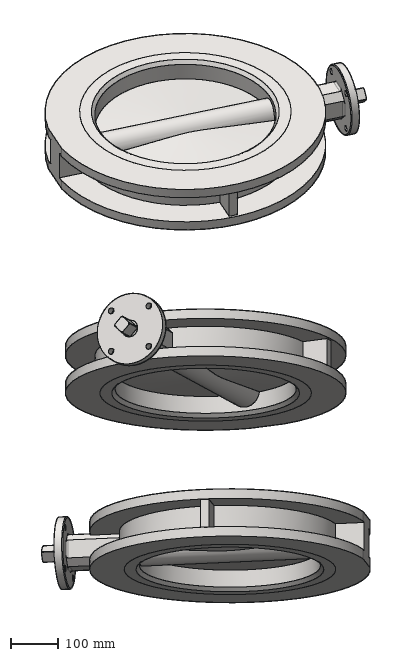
import cadquery as cq
import math


ring_radius = 298.5
ring_height = 104.0
slot_height = 62.0
core_radius = 235.5
liner_radius = 225.0
foot_flat_y = -296.0
foot_width = 57.5
side_rib_width = 19.0
side_rib_reach = 292.0

neck_width = 70.0
neck_corner_cut = 15.5
neck_fillet = 4.0
plate_radius = 77.45
plate_thickness = 19.0
plate_back_y = 348.0
plate_top_y = plate_back_y + plate_thickness
plate_chamfer = 2.0
bolt_circle_radius = 63.0
bolt_hole_diameter = 12.5
bolt_count = 4

bore_radius = 193.0
bore_mouth_radius = 200.0
bore_mouth_depth = 8.5

disc_edge_height = 12.5
disc_centre_height = 41.0
hub_radius = 35.0

stem_radius = 18.0
stem_tip_y = 405.0
stem_socket_depth = 56.0
stem_bottom_y = bore_radius - stem_socket_depth
stem_square = 26.5
stem_tip_chamfer = 2.0


def disc_z(radius, height):
    """Cylinder on the flow axis, centred on the origin."""
    return cq.Workplane("XY").circle(radius).extrude(height / 2, both=True)


def plane_across_stem(y):
    """Plane square to the stem at height y, facing +Y, with local x along -X."""
    return cq.Workplane(cq.Plane(origin=(0, y, 0), xDir=(-1, 0, 0), normal=(0, 1, 0)))


def rod_y(radius, start_y, end_y):
    """Cylinder on the stem axis."""
    return plane_across_stem(start_y).circle(radius).extrude(end_y - start_y)


def make_neck_and_plate():
    """Neck rising from the core into the round mounting plate, its four flats filleted at the root."""
    neck_length = plate_back_y - liner_radius
    neck = plane_across_stem(liner_radius).rect(neck_width, neck_width).extrude(neck_length)
    plate = rod_y(plate_radius, plate_back_y, plate_top_y).faces("<Y").edges().chamfer(plate_chamfer)
    root_reach = neck_width / 2 + plate_chamfer
    neck_root = cq.selectors.BoxSelector(
        (-root_reach, plate_back_y - plate_chamfer, -root_reach),
        (root_reach, plate_back_y + plate_chamfer, root_reach),
    )
    joined = neck.union(plate).edges("%LINE").edges(neck_root).fillet(neck_fillet)
    width_across_corners = math.sqrt(2) * (neck_width - neck_corner_cut)
    corners = rod_y(plate_radius, liner_radius, plate_back_y).cut(
        plane_across_stem(liner_radius)
        .transformed(rotate=(0, 0, 45))
        .rect(width_across_corners, width_across_corners)
        .extrude(neck_length)
    )
    bolt_holes = (
        plane_across_stem(plate_back_y)
        .polarArray(bolt_circle_radius, 180 / bolt_count, 360, bolt_count)
        .circle(bolt_hole_diameter / 2)
        .extrude(plate_thickness)
    )
    return joined.cut(corners).cut(bolt_holes)


def make_housing():
    """Grooved ring with foot, side ribs, neck and plate, bored for the liner and the stem."""
    groove = disc_z(ring_radius, slot_height).cut(disc_z(core_radius, slot_height))
    ring = disc_z(ring_radius, ring_height).cut(groove)
    foot = cq.Workplane("XY").box(foot_width, ring_radius, slot_height).translate((0, -ring_radius / 2, 0))
    side_ribs = cq.Workplane("XY").box(2 * side_rib_reach, side_rib_width, slot_height)
    below_flat = (
        cq.Workplane("XY")
        .box(2 * ring_radius, ring_radius, ring_height)
        .translate((0, foot_flat_y - ring_radius / 2, 0))
    )
    return (
        ring.union(foot)
        .union(side_ribs)
        .cut(below_flat)
        .union(make_neck_and_plate())
        .cut(disc_z(liner_radius, ring_height))
        .cut(rod_y(stem_radius, 0, plate_top_y))
    )


def make_liner():
    """Sleeve with a tapered mouth at both faces and a hole for the stem."""
    half_height = ring_height / 2
    taper_z = half_height - bore_mouth_depth
    section = [
        (liner_radius, -half_height),
        (liner_radius, half_height),
        (bore_mouth_radius, half_height),
        (bore_radius, taper_z),
        (bore_radius, -taper_z),
        (bore_mouth_radius, -half_height),
    ]
    sleeve = cq.Workplane("XZ").polyline(section).close().revolve(360, (0, 0, 0), (0, 1, 0))
    return sleeve.cut(rod_y(stem_radius, 0, liner_radius))


def make_disc():
    """Double-coned disc with a cylindrical hub across it, trimmed to the bore."""
    section = [
        (0, -disc_centre_height / 2),
        (bore_radius, -disc_edge_height / 2),
        (bore_radius, disc_edge_height / 2),
        (0, disc_centre_height / 2),
    ]
    cones = cq.Workplane("XZ").polyline(section).close().revolve(360, (0, 0, 0), (0, 1, 0))
    hub = rod_y(hub_radius, -bore_radius, bore_radius).intersect(disc_z(bore_radius, 2 * hub_radius))
    return cones.union(hub).cut(rod_y(stem_radius, stem_bottom_y, bore_radius))


def make_stem():
    """Round shaft from the hub to the plate face, then a square drive standing on its corner."""
    shaft = rod_y(stem_radius, stem_bottom_y, plate_top_y)
    drive_length = stem_tip_y - plate_top_y
    drive = (
        plane_across_stem(plate_top_y)
        .transformed(rotate=(0, 0, 45))
        .rect(stem_square, stem_square)
        .extrude(drive_length)
    )
    drive_envelope = rod_y(stem_radius, plate_top_y, stem_tip_y).faces(">Y").chamfer(stem_tip_chamfer)
    return shaft.union(drive.intersect(drive_envelope))


housing = make_housing()
liner = make_liner()
disc = make_disc()
stem = make_stem()

result = cq.Compound.makeCompound([housing.val(), liner.val(), disc.val(), stem.val()])